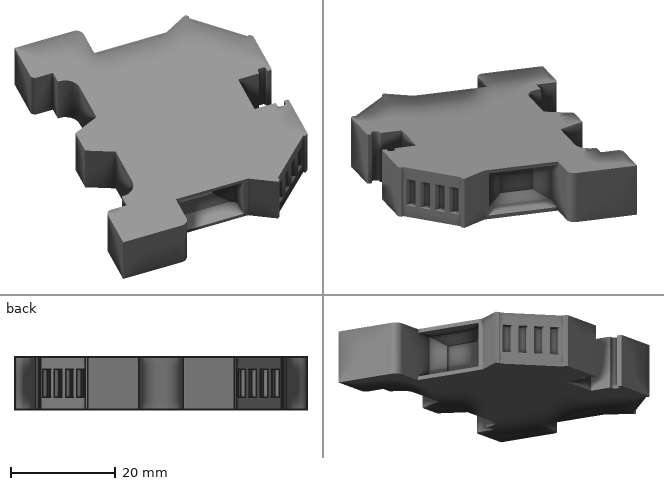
import cadquery as cq
import math

length = 56.0
height = 43.6
thickness = 10.1
half_length = length / 2

foot_top = 13.65
foot_fillet = 1.5
foot_inner_x = 19.05
foot_toe_fillet = 1.0
ledge_y = 4.3
recess_fillet = 3.0
recess_x = 16.5
recess_top = 7.7
tooth_root_x = 5.0
tooth_tip_x = 2.5
tooth_tip_y = 2.35

body_x = 21.05
wing_root_y = 28.55
wing_tip_x = 24.0
wing_tip_y = 33.6

lip_length = 0.5
lip_flat = 0.2
lip_undercut = 0.2
shoulder_top_x = wing_tip_x + wing_tip_y - height

notch_x = 4.25
notch_floor = 36.6
notch_edge_fillet = 0.3
groove_y = 41.85
groove_half_width = 0.85
groove_fillet = 0.5
groove_depth = 1.2

pocket_margin_z = 0.7
pocket_floor_margin_z = 2.5
pocket_top = 27.6
pocket_bottom = foot_top
funnel_top = 26.4
funnel_floor_top = 23.5
funnel_floor_bottom = 16.6
pocket_end_recess = 0.5
pocket_wall_angle = math.radians(60)
pocket_wall_fillet = 0.85
pocket_corner_depth = 3.3

slot_count = 4
slot_pitch = 3.1
slot_mouth = 2.0
slot_flare_depth = 0.9
slot_flare_angle = math.radians(20)
slot_depth = 1.5
slot_width_z = 5.4

lip_nose_x = shoulder_top_x + lip_length
lip_nose_y = height - lip_length - lip_flat
upper_lip = [
    (shoulder_top_x, height),
    (lip_nose_x, height - lip_length),
    (lip_nose_x, lip_nose_y),
    (lip_nose_x - lip_undercut, lip_nose_y - lip_undercut),
]
mirror_shift = height - wing_tip_x
lower_lip = [(y - mirror_shift, x + mirror_shift) for x, y in reversed(upper_lip)]


def make_half_body():
    outline = [
        (0, tooth_tip_y),
        (tooth_tip_x, tooth_tip_y),
        (tooth_root_x, recess_top),
        (recess_x, recess_top),
        (recess_x, ledge_y),
        (foot_inner_x, ledge_y),
        (foot_inner_x, 0),
        (half_length, 0),
        (half_length, foot_top),
        (body_x, foot_top),
        (body_x, wing_root_y),
        *reversed(lower_lip),
        *reversed(upper_lip),
        (notch_x, height),
        (notch_x, notch_floor),
        (0, notch_floor),
    ]
    return cq.Workplane("XY").polyline(outline).close().extrude(thickness)


def fillet_upright_edge(body, x, y, radius):
    """Round the edge parallel to Z that stands at (x, y)."""
    margin = 0.05
    box = cq.selectors.BoxSelector(
        (x - margin, y - margin, -margin), (x + margin, y + margin, thickness + margin)
    )
    return body.edges(box).edges("|Z").fillet(radius)


def make_groove():
    """Flat-bottomed groove with rounded corners, running through the full thickness."""
    floor_x = notch_x + groove_depth
    return (
        cq.Workplane("XY", origin=(0, groove_y - groove_half_width, 0))
        .rect(floor_x, 2 * groove_half_width, centered=False)
        .extrude(thickness)
        .edges("|Z and >X")
        .fillet(groove_fillet)
    )


def make_pocket():
    wall_slope = math.tan(pocket_wall_angle)
    funnel_depth = pocket_corner_depth + (pocket_top - funnel_top) / wall_slope
    floor_depth = pocket_corner_depth + (pocket_top - funnel_floor_top) / wall_slope
    funnel_x = body_x - funnel_depth
    corner_x = body_x - pocket_corner_depth

    mouth = (
        cq.Workplane("XY")
        .workplane(offset=pocket_margin_z)
        .polyline([
            (body_x, pocket_bottom),
            (body_x, pocket_top),
            (corner_x, pocket_top),
            (funnel_x, funnel_top),
            (funnel_x, pocket_bottom),
        ])
        .close()
        .extrude(thickness - 2 * pocket_margin_z)
    )
    mouth = fillet_upright_edge(mouth, corner_x, pocket_top, pocket_wall_fillet)

    floor_height = funnel_floor_top - funnel_floor_bottom
    floor_width = thickness - 2 * pocket_floor_margin_z
    floor_middle_y = (funnel_floor_top + funnel_floor_bottom) / 2
    funnel_middle_y = (funnel_top + pocket_bottom) / 2
    funnel = (
        cq.Workplane("YZ", origin=(funnel_x, funnel_middle_y, thickness / 2))
        .rect(funnel_top - pocket_bottom, thickness - 2 * pocket_margin_z)
        .workplane(offset=funnel_depth - floor_depth)
        .center(floor_middle_y - funnel_middle_y, 0)
        .rect(floor_height, floor_width)
        .loft(ruled=True)
    )
    end_recess = (
        cq.Workplane("YZ", origin=(body_x - floor_depth, floor_middle_y, thickness / 2))
        .rect(floor_height, floor_width)
        .extrude(-pocket_end_recess)
    )
    return mouth.union(funnel).union(end_recess)


def make_slots():
    """Row of slots centred on the shoulder face and cut square to it."""
    face_x = (upper_lip[-1][0] + lower_lip[0][0]) / 2
    face_y = (upper_lip[-1][1] + lower_lip[0][1]) / 2
    shoulder = cq.Plane(
        origin=(face_x, face_y, (thickness - slot_width_z) / 2), xDir=(1, -1, 0), normal=(0, 0, 1)
    )
    half_mouth = slot_mouth / 2
    half_throat = half_mouth - slot_flare_depth * math.tan(slot_flare_angle)
    slots = cq.Workplane(shoulder)
    for index in range(slot_count):
        middle = (index - (slot_count - 1) / 2) * slot_pitch
        slots = slots.polyline([
            (middle - half_mouth, 0),
            (middle - half_throat, -slot_flare_depth),
            (middle - half_throat, -slot_depth),
            (middle + half_throat, -slot_depth),
            (middle + half_throat, -slot_flare_depth),
            (middle + half_mouth, 0),
        ]).close()
    return slots.extrude(slot_width_z)


half = make_half_body()
for edge_x, edge_y, edge_radius in [
    (recess_x, recess_top, recess_fillet),
    (foot_inner_x, 0, foot_toe_fillet),
    (half_length, foot_top, foot_fillet),
    (notch_x, height, notch_edge_fillet),
]:
    half = fillet_upright_edge(half, edge_x, edge_y, edge_radius)

half = half.cut(make_groove()).cut(make_pocket()).cut(make_slots())
result = half.union(half.mirror("YZ"))